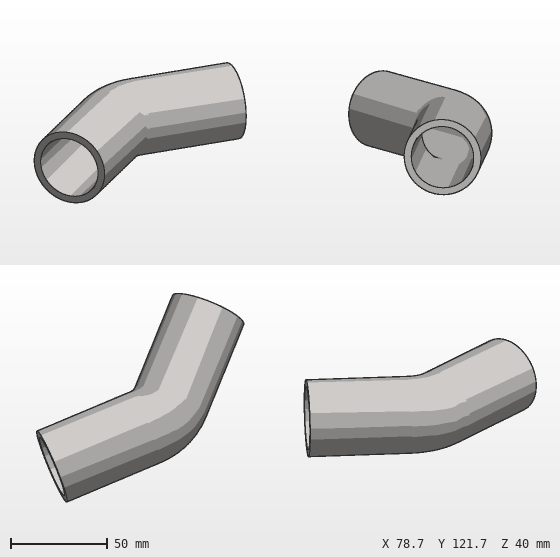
import cadquery as cq
import math

overall_length = 121.7
outer_diameter = 40.0
bore_diameter = 32.6
bend_radius = 24.0
bend_angle = 45.0

bend_sine = math.sin(math.radians(bend_angle))
bend_cosine = math.cos(math.radians(bend_angle))
outer_bend_radius = bend_radius + outer_diameter / 2
arm_length = (overall_length - outer_bend_radius * bend_sine) / (1 + bend_cosine)

inlet_plane = cq.Plane(origin=(0, 0, 0), xDir=(1, 0, 0), normal=(0, 1, 0))
bend_plane = cq.Plane(origin=(0, arm_length, 0), xDir=(1, 0, 0), normal=(0, 1, 0))
outlet_plane = cq.Plane(
    origin=(bend_radius * (1 - bend_cosine), arm_length + bend_radius * bend_sine, 0),
    xDir=(bend_cosine, -bend_sine, 0),
    normal=(bend_sine, bend_cosine, 0),
)


def pipe_section(plane):
    """Ring-shaped pipe cross-section on the given plane."""
    return cq.Workplane(plane).circle(outer_diameter / 2).circle(bore_diameter / 2)


inlet_arm = pipe_section(inlet_plane).extrude(arm_length)
bend = pipe_section(bend_plane).revolve(bend_angle, (bend_radius, 0), (bend_radius, 1))
outlet_arm = pipe_section(outlet_plane).extrude(arm_length)

result = inlet_arm.union(bend).union(outlet_arm)